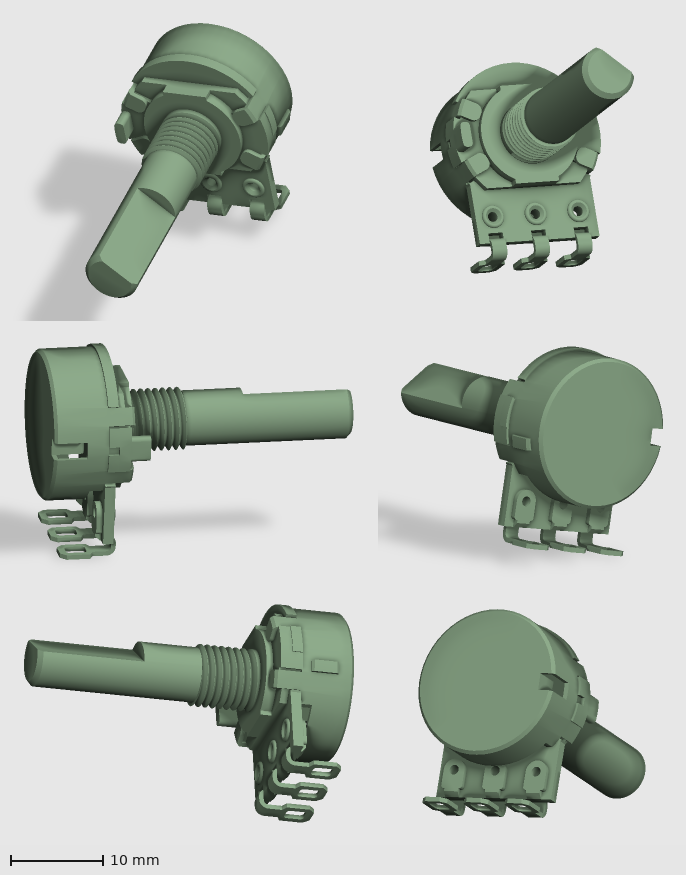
import cadquery as cq
import math

TILT = 9.7

CORNER_FACE = 1.23
LAND_FACE = 0.75
BOARD_FRONT = 2.05
BOARD_BACK = 3.2
CAN_BACK = 9.2
OVERALL_LENGTH = 34.2
SHAFT_END = CAN_BACK - OVERALL_LENGTH

CAN_RADIUS = 8.25
CAN_CHAMFER = 0.35
METAL = 0.5
CAN_RELIEF_Z = -5.57
CAN_RELIEF_Y = 4.75
CAN_TWIST = -0.7
TAB_ANGLE = 25.3
TAB_WIDTH = 2.0
TAB_TIP_RADIUS = 5.78
TAB_CORNER = 0.82
TAB_BEND = 0.3
SLOT_HALF_WIDTH = 0.95
SLOT_FRONT = 5.55
SLOT_DEPTH = 1.7
TONGUE_ROUND = 0.48
PAD_RADIUS = 8.7
PAD_ANGLE = -13.0
PAD_FRONT = 4.25
PAD_BACK = 7.35
PAD_HALF_WIDTH = 0.65
PAD_CHAMFER = 0.27

BOARD_RADIUS = 8.5
BOARD_HALF_WIDTH = 7.0
BULGE_RADIUS = 8.65
BULGE_BOTTOM = -0.7
BULGE_TOP = 2.75
BOARD_BOTTOM = -11.45
TAB_NOTCH_WIDTH = 2.3
EDGE_NOTCH_WIDTH = 0.92
EDGE_NOTCH_DEPTH = 0.4

BASE_HALF_HEIGHT = 5.5
BASE_HALF_TOP = 5.47
BASE_CORNER_X = 6.77
BASE_CORNER_Z = 4.0
LAND_INSET = 0.3
DISC_RADIUS = 5.6
RIB_HALF_WIDTH = 2.53
LUG_INNER = 7.35
LUG_HALF_WIDTH = 1.4
LUG_CORNER = 0.45
LUG_FRONT = -1.4

TERMINAL_PITCH = 5.0
EYELET_Z = -8.5
EYELET_RADIUS = 1.25
EYELET_RISE = 0.3
EYELET_ROUND = 0.27
EYELET_BACK_RISE = 0.65
EYELET_HOLE = 0.55
EYELET_MOUTH = 0.9
STRAP_WIDTH = 1.68
BOARD_SLOT_TOP = -10.33
REAR_PAD_BOTTOM = -10.6
REAR_PAD_CORNER = 0.35
UPPER_BEND_Z = -11.87
LEG_BOTTOM = -13.27
BEND_RADIUS = 1.0
LOOP_WIDTH = 3.0
LOOP_NECK = 4.07
LOOP_NECK_TAPER = 0.38
LOOP_END = 7.7
LOOP_CHAMFER = 0.65
LOOP_HOLE_FRONT = 4.7
LOOP_HOLE_BACK = 6.95
LOOP_HOLE_CORNER = 0.4

BUSH_RADIUS = 3.42
BUSH_LENGTH = 6.5
THREAD_TURNS = 8
THREAD_LENGTH = 6.43
THREAD_PITCH = THREAD_LENGTH / THREAD_TURNS
THREAD_DEPTH = 0.6
THREAD_CREST = 0.04
THREAD_START = -0.45
THREAD_START_ANGLE = -130
SHAFT_RADIUS = 3.0
SHAFT_CHAMFER = 0.5
FLAT_START = -13.03
FLAT_DISTANCE = 1.5
FLAT_ANGLE = 57.3


def plane_at(y):
    """Workplane facing -Y: its axes are X and Z, and it extrudes towards -Y."""
    return cq.Workplane("XZ", origin=(0, y, 0))


def disc(radius, front, back):
    return plane_at(back).circle(radius).extrude(back - front)


def block(x_min, x_max, front, back, z_min, z_max):
    size = (x_max - x_min, back - front, z_max - z_min)
    return cq.Workplane("XY").box(*size, centered=False).translate((x_min, front, z_min))


def about_shaft(shape, angle):
    """Turn a shape about the shaft axis, counter-clockwise seen from the shaft end."""
    return shape.rotate((0, 0, 0), (0, -1, 0), angle)


def at_tabs(shape):
    """The four copies of a shape that is drawn pointing along +X."""
    angles = (TAB_ANGLE, -TAB_ANGLE, 180 + TAB_ANGLE, 180 - TAB_ANGLE)
    return [about_shaft(shape, angle) for angle in angles]


def make_tab_outline(front, back):
    half = TAB_WIDTH / 2
    tab = block(TAB_TIP_RADIUS, 2 * CAN_RADIUS, front, back, -half, half)
    return tab.edges("|Y and <X").fillet(TAB_CORNER)


def make_can():
    front = LAND_FACE - METAL
    inner_radius = CAN_RADIUS - METAL
    reach = 2 * CAN_RADIUS
    can = disc(CAN_RADIUS, front, CAN_BACK).faces(">Y").chamfer(CAN_CHAMFER)
    can = can.faces("<Y").chamfer(TAB_BEND)
    can = can.cut(disc(inner_radius, LAND_FACE, CAN_BACK - METAL))

    between_tabs = disc(reach, front, BOARD_BACK)
    for tab in at_tabs(make_tab_outline(front, BOARD_BACK)):
        between_tabs = between_tabs.cut(tab)
    can = can.cut(between_tabs)
    can = can.cut(block(-reach, reach, BOARD_BACK, CAN_RELIEF_Y, -reach, CAN_RELIEF_Z))

    tongue_face = -CAN_RADIUS + SLOT_DEPTH
    half = SLOT_HALF_WIDTH
    can = can.cut(block(-reach, tongue_face, SLOT_FRONT, CAN_BACK, -half, half))
    tongue = block(tongue_face, tongue_face + METAL, SLOT_FRONT, CAN_BACK, -half, half)
    can = can.union(tongue.edges("|Z and <X and <Y").fillet(TONGUE_ROUND))

    pad = disc(PAD_RADIUS, PAD_FRONT, PAD_BACK).faces("<Y or >Y").chamfer(PAD_CHAMFER)
    half = PAD_HALF_WIDTH
    pad = pad.intersect(block(inner_radius, reach, PAD_FRONT, PAD_BACK, -half, half))
    return can.union(about_shaft(pad, PAD_ANGLE))


def make_tab_notch(front, back):
    half = TAB_NOTCH_WIDTH / 2
    return block(CAN_RADIUS - METAL, 2 * CAN_RADIUS, front, back, -half, half)


def make_board():
    board = disc(BOARD_RADIUS, BOARD_FRONT, BOARD_BACK)
    board = board.union(
        block(-BOARD_HALF_WIDTH, BOARD_HALF_WIDTH, BOARD_FRONT, BOARD_BACK, BOARD_BOTTOM, 0)
    )
    bulge = disc(BULGE_RADIUS, BOARD_FRONT, BOARD_BACK)
    bulge_zone = block(0, BULGE_RADIUS, BOARD_FRONT, BOARD_BACK, BULGE_BOTTOM, BULGE_TOP)
    board = board.union(bulge.intersect(bulge_zone))
    half_notch = EDGE_NOTCH_WIDTH / 2
    notch_floor = BOARD_RADIUS - EDGE_NOTCH_DEPTH
    return board.cut(
        block(-2 * BOARD_RADIUS, -notch_floor, BOARD_FRONT, BOARD_BACK, -half_notch, half_notch)
    )


def make_land():
    """Side areas of the base that the tabs rest on, ending under their outer edges."""
    angle = math.radians(TAB_ANGLE)
    half = TAB_WIDTH / 2 - LAND_INSET

    def on_tab_edge(distance):
        x = distance * math.cos(angle) - half * math.sin(angle)
        z = distance * math.sin(angle) + half * math.cos(angle)
        return x, z

    x_in, z_in = on_tab_edge(DISC_RADIUS / 2)
    x_out, z_out = on_tab_edge(2 * BOARD_RADIUS)
    land = disc(BOARD_RADIUS, LAND_FACE, BOARD_FRONT)
    sides = None
    for side in (1, -1):
        wedge = (
            plane_at(BOARD_FRONT)
            .polyline([
                (side * x_in, z_in),
                (side * x_out, z_out),
                (side * x_out, -z_out),
                (side * x_in, -z_in),
            ])
            .close()
            .extrude(BOARD_FRONT - LAND_FACE)
        )
        sides = wedge if sides is None else sides.union(wedge)
    return about_shaft(land.intersect(sides), CAN_TWIST)


def make_base():
    plate = (
        plane_at(BOARD_FRONT)
        .polyline([
            (-BASE_HALF_TOP, BASE_HALF_HEIGHT),
            (BASE_HALF_TOP, BASE_HALF_HEIGHT),
            (BASE_CORNER_X, BASE_CORNER_Z),
            (BASE_CORNER_X, -BASE_CORNER_Z),
            (BASE_HALF_TOP, -BASE_HALF_HEIGHT),
            (-BASE_HALF_TOP, -BASE_HALF_HEIGHT),
            (-BASE_CORNER_X, -BASE_CORNER_Z),
            (-BASE_CORNER_X, BASE_CORNER_Z),
        ])
        .close()
        .extrude(BOARD_FRONT - CORNER_FACE)
    )
    height = BASE_HALF_HEIGHT
    boss = disc(DISC_RADIUS, 0, BOARD_FRONT).intersect(
        block(-DISC_RADIUS, DISC_RADIUS, 0, BOARD_FRONT, -height, height)
    )
    rib = block(-RIB_HALF_WIDTH, RIB_HALF_WIDTH, 0, BOARD_FRONT, -height, height)
    return plate.union(make_land()).union(boss).union(rib)


def make_lug():
    half = LUG_HALF_WIDTH
    lug = disc(BOARD_RADIUS, LUG_FRONT, LAND_FACE)
    lug = lug.intersect(block(-2 * BOARD_RADIUS, -LUG_INNER, LUG_FRONT, LAND_FACE, -half, half))
    return lug.edges("|Y").fillet(LUG_CORNER)


def make_eyelet():
    front = BOARD_FRONT - EYELET_RISE
    back = BOARD_BACK + EYELET_BACK_RISE
    eyelet = disc(EYELET_RADIUS, front, back)
    eyelet = eyelet.faces("<Y").edges().fillet(EYELET_ROUND)
    return eyelet.translate((0, 0, EYELET_Z))


def make_eyelet_hole():
    front = BOARD_FRONT - EYELET_RISE
    back = BOARD_BACK + EYELET_BACK_RISE
    funnel = EYELET_MOUTH - EYELET_HOLE
    mouth = plane_at(front).circle(EYELET_MOUTH)
    mouth = mouth.workplane(offset=-funnel).circle(EYELET_HOLE).loft()
    return disc(EYELET_HOLE, front, back).union(mouth).translate((0, 0, EYELET_Z))


def make_strap():
    """Strip that leaves the board slot, runs down the front and turns under the board."""
    front = BOARD_FRONT - METAL
    bend_y = front + BEND_RADIUS
    leg_top = LEG_BOTTOM + METAL
    inner_radius = BEND_RADIUS - METAL
    return (
        cq.Workplane("YZ", origin=(-STRAP_WIDTH / 2, 0, 0))
        .moveTo(BOARD_BACK, UPPER_BEND_Z + BEND_RADIUS)
        .lineTo(bend_y, UPPER_BEND_Z + BEND_RADIUS)
        .radiusArc((front, UPPER_BEND_Z), -BEND_RADIUS)
        .lineTo(front, LEG_BOTTOM + BEND_RADIUS)
        .radiusArc((bend_y, LEG_BOTTOM), -BEND_RADIUS)
        .lineTo(LOOP_NECK, LEG_BOTTOM)
        .lineTo(LOOP_NECK, leg_top)
        .lineTo(bend_y, leg_top)
        .radiusArc((BOARD_FRONT, leg_top + inner_radius), inner_radius)
        .lineTo(BOARD_FRONT, BOARD_BOTTOM)
        .lineTo(BOARD_BACK, BOARD_BOTTOM)
        .close()
        .extrude(STRAP_WIDTH)
    )


def make_loop():
    """Solder loop at the end of the strap."""
    half = STRAP_WIDTH / 2
    wide = LOOP_WIDTH / 2
    loop = (
        cq.Workplane("XY", origin=(0, 0, LEG_BOTTOM))
        .polyline([
            (-half, LOOP_NECK),
            (half, LOOP_NECK),
            (wide, LOOP_NECK + LOOP_NECK_TAPER),
            (wide, LOOP_END - LOOP_CHAMFER),
            (wide - LOOP_CHAMFER, LOOP_END),
            (LOOP_CHAMFER - wide, LOOP_END),
            (-wide, LOOP_END - LOOP_CHAMFER),
            (-wide, LOOP_NECK + LOOP_NECK_TAPER),
        ])
        .close()
        .extrude(METAL)
    )
    leg_top = LEG_BOTTOM + METAL
    hole = block(-half, half, LOOP_HOLE_FRONT, LOOP_HOLE_BACK, LEG_BOTTOM, leg_top)
    return loop.cut(hole.edges("|Z").fillet(LOOP_HOLE_CORNER))


def make_rear_pad():
    """Plate behind the board, from the eyelet down to the board's lower edge."""
    back = BOARD_BACK + EYELET_BACK_RISE
    wide = EYELET_RADIUS
    pad = block(-wide, wide, BOARD_BACK, back, REAR_PAD_BOTTOM, EYELET_Z)
    pad = pad.edges("|Y and <Z").fillet(REAR_PAD_CORNER)
    half = STRAP_WIDTH / 2
    neck = block(-half, half, BOARD_BACK, back, BOARD_BOTTOM, EYELET_Z)
    return pad.union(neck.edges("|X and >Y and <Z").chamfer(METAL))


def make_board_slot():
    half = STRAP_WIDTH / 2
    return block(-half, half, BOARD_FRONT, BOARD_BACK, BOARD_BOTTOM, BOARD_SLOT_TOP)


def make_bush():
    """Bush with a V groove along a right-hand helix, from near the base past the free end."""
    bush = disc(BUSH_RADIUS, -BUSH_LENGTH, 0)
    margin = 0.07
    half_root = (THREAD_PITCH - THREAD_CREST) / 2
    half_mouth = half_root * (THREAD_DEPTH + margin) / THREAD_DEPTH
    root = BUSH_RADIUS - THREAD_DEPTH
    length = BUSH_LENGTH + THREAD_START + THREAD_PITCH
    helix = cq.Wire.makeHelix(THREAD_PITCH, length, BUSH_RADIUS)
    groove = (
        cq.Workplane("XZ")
        .polyline([
            (root, 0),
            (BUSH_RADIUS + margin, half_mouth),
            (BUSH_RADIUS + margin, -half_mouth),
        ])
        .close()
        .sweep(cq.Workplane(obj=helix), isFrenet=True)
    )
    groove = groove.rotate((0, 0, 0), (1, 0, 0), 90)
    groove = about_shaft(groove, THREAD_START_ANGLE).translate((0, THREAD_START, 0))
    return bush.cut(groove)


def make_shaft():
    shaft = disc(SHAFT_RADIUS, SHAFT_END, -BUSH_LENGTH).faces("<Y").chamfer(SHAFT_CHAMFER)
    waste = block(
        FLAT_DISTANCE, 2 * SHAFT_RADIUS, SHAFT_END, FLAT_START, -SHAFT_RADIUS, SHAFT_RADIUS
    )
    return shaft.cut(about_shaft(waste, FLAT_ANGLE))


body = make_board().union(make_base())
for notch in at_tabs(make_tab_notch(LAND_FACE, BOARD_BACK)):
    body = body.cut(notch)
body = body.union(about_shaft(make_can(), CAN_TWIST)).union(make_lug())

for column in (-1, 0, 1):
    shift = (column * TERMINAL_PITCH, 0, 0)
    body = body.cut(make_board_slot().translate(shift))
    for make_piece in (make_strap, make_loop, make_rear_pad, make_eyelet):
        body = body.union(make_piece().translate(shift))
    body = body.cut(make_eyelet_hole().translate(shift))

result = about_shaft(body, TILT).union(make_bush()).union(make_shaft())